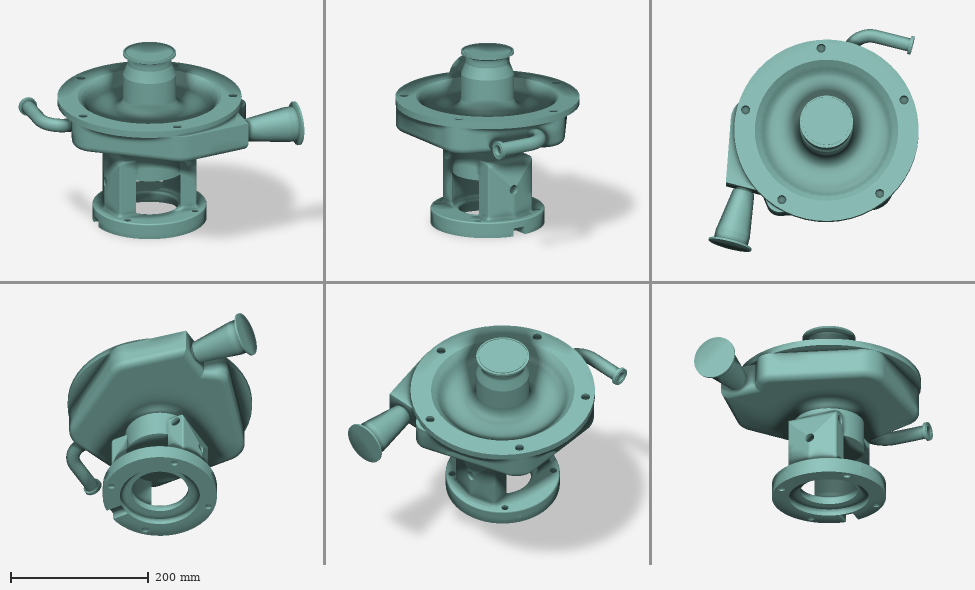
import cadquery as cq
import math

FOOT_TOP = 23.5
HUB_BOTTOM = 78.0
LEG_TOP = 109.0
HUB_TOP = 120.0
BODY_BOTTOM = 139.5
BODY_TOP = 181.5
COVER_TOP = 191.3
OVERALL_HEIGHT = 261.0

OVERLAP = 3.5
PICK_MARGIN = 0.5

BODY_SIDES = 5
BODY_APOTHEM = 115.0
BODY_CORNER_RADIUS = 34.5
BODY_BOTTOM_FILLET = 10.0
OUTLET_FACE_OFFSET = 119.5
OUTLET_LOBE_RADIUS = 19.0
BOX_END_Y = 109.5
BOX_CORNER_X = 123.5
BOX_SIDE_SLOPE = 10

COVER_RADIUS = 134.5
COVER_BOLT_COUNT = 5
COVER_BOLT_CIRCLE_RADIUS = 121.8
COVER_BOLT_RADIUS = 6.5
DISH_RIM_RADIUS = 104.5
DISH_DEPTH = 15.7
DISH_FLOOR_FILLET = 14.5
DISH_WALL_ANGLE = 45

INLET_RADIUS = 38.8
INLET_NECK_RADIUS = 32.0
INLET_SHOULDER_Z = 226.7
INLET_NECK_Z = 243.5
INLET_ROOT_FILLET = 15.0
FERRULE_RIM = 3.3
FERRULE_HEIGHT = 6.5
SEAL_GROOVE_OUTER = 37.0
SEAL_GROOVE_INNER = 34.5
SEAL_GROOVE_DEPTH = 1.5

HORN_X = 95.8
HORN_Z = 159.5
HORN_END_Y = 194.5
HORN_TUBE_START_Y = 176.3
HORN_CONE_START_Y = 113.5
HORN_NECK_END_Y = 111.0
HORN_RADIUS = 25.5
HORN_SMALL_RADIUS = 16.0
HORN_NECK_RADIUS = 12.5
HORN_FERRULE_RADIUS = 32.0
HORN_FERRULE_RIM = 3.0
HORN_FERRULE_LENGTH = 5.5

PIPE_Z = 162.7
PIPE_Y = -157.5
PIPE_END_X = -89.2
PIPE_RADIUS = 10.0
PIPE_BORE_RADIUS = 8.0
PIPE_BEND_RADIUS = 34.5
PIPE_EMBED = 11.0
PIPE_FLANGE_RADIUS = 13.5
PIPE_FLANGE_LENGTH = 4.8
PIPE_GROOVE_OUTER = 11.7
PIPE_GROOVE_INNER = 10.0
PIPE_GROOVE_DEPTH = 1.0

NECK_RADIUS = 42.0
NECK_FILLET = 9.5
HUB_RADIUS = 51.2

FOOT_RADIUS = 83.5
FOOT_BORE_RADIUS = 41.7
FOOT_BORE_FILLET = 4.5
FOOT_RECESS_RADIUS = 58.5
FOOT_RECESS_DEPTH = 10.2
FOOT_EDGE_FILLET = 2.2
FOOT_BOLT_COUNT = 4
FOOT_BOLT_START_ANGLE = 45
FOOT_BOLT_CIRCLE_RADIUS = 74.0
FOOT_BOLT_RADIUS = 5.0
NOTCH_WIDTH = 20.0
NOTCH_HEIGHT = 12.0
NOTCH_FILLET = 2.2
PIN_HOLE_RADIUS = 1.0
PIN_HOLE_DEPTH = 7.3
PIN_HOLE_Z = 12.0
PIN_HOLE_ANGLE = 150

LEG_HALF_WIDTH = 38.8
LEG_RIDGE_Y = 70.0
LEG_FACE_SLOPE = 15
LEG_CORNER_FILLET = 3.3
LEG_RIDGE_FILLET = 8.8
LEG_TOP_FILLET = 10.2
LEG_TAPER_START_Z = 66.0
LEG_BORE_RADIUS = 52.0
LEG_FOOT_FILLET = 5.0
RIDGE_HOLE_RADIUS = 7.0
RIDGE_HOLE_Z = 66.0
RIDGE_HOLE_BREAKTHROUGH = 2.5
CROSS_HOLE_RADIUS = 7.3
CROSS_HOLE_Y = 46.8
CROSS_HOLE_Z = 97.3


def tan_deg(angle):
    return math.tan(math.radians(angle))


def line_crossing(line_a, line_b):
    """Point where two lines meet, each given as (normal angle, distance from origin)."""
    (angle_a, dist_a), (angle_b, dist_b) = line_a, line_b
    a, b = math.radians(angle_a), math.radians(angle_b)
    spread = math.sin(b - a)
    x = (dist_a * math.sin(b) - dist_b * math.sin(a)) / spread
    y = (dist_b * math.cos(a) - dist_a * math.cos(b)) / spread
    return (x, y)


def cylinder(radius, bottom, top):
    return cq.Workplane("XY", origin=(0, 0, bottom)).circle(radius).extrude(top - bottom)


def fillet_upright_edge(solid, point, radius):
    """Round the one vertical edge that stands at the given plan position."""
    x, y = point
    picker = cq.selectors.BoxSelector(
        (x - PICK_MARGIN, y - PICK_MARGIN, 0),
        (x + PICK_MARGIN, y + PICK_MARGIN, OVERALL_HEIGHT),
    )
    return solid.edges("|Z").edges(picker).fillet(radius)


def make_body():
    slope = math.radians(BOX_SIDE_SLOPE)
    box_side_offset = BOX_CORNER_X * math.cos(slope) + BOX_END_Y * math.sin(slope)
    turn = 360 / BODY_SIDES
    walls = [
        (180, BODY_APOTHEM),
        (180 + turn, BODY_APOTHEM),
        (180 + 2 * turn, BODY_APOTHEM),
        (BOX_SIDE_SLOPE, box_side_offset),
        (90, BOX_END_Y),
        (180 - 2 * turn, OUTLET_FACE_OFFSET),
        (180 - turn, BODY_APOTHEM),
    ]
    corners = [line_crossing(walls[i], walls[(i + 1) % len(walls)]) for i in range(len(walls))]
    wall_height = BODY_TOP - BODY_BOTTOM
    body = cq.Workplane("XY", origin=(0, 0, BODY_BOTTOM)).polyline(corners).close().extrude(wall_height)
    left_front, front, right, _, _, lobe, left_back = corners
    for corner in (left_front, front, right, left_back):
        body = fillet_upright_edge(body, corner, BODY_CORNER_RADIUS)
    body = fillet_upright_edge(body, lobe, OUTLET_LOBE_RADIUS)
    return body.faces("<Z").edges().fillet(BODY_BOTTOM_FILLET)


def make_cover():
    cover = cylinder(COVER_RADIUS, BODY_TOP, COVER_TOP)
    bolts = cq.Workplane("XY", origin=(0, 0, BODY_TOP))
    bolts = bolts.polarArray(COVER_BOLT_CIRCLE_RADIUS, 0, 360, COVER_BOLT_COUNT)
    return cover.cut(bolts.circle(COVER_BOLT_RADIUS).extrude(COVER_TOP - BODY_TOP))


def make_dish():
    """Round recess in the cover with a conical wall and a rounded floor edge."""
    floor_radius = DISH_RIM_RADIUS - DISH_DEPTH / tan_deg(DISH_WALL_ANGLE)
    dish = cq.Workplane("XZ").polyline([
        (0, COVER_TOP),
        (DISH_RIM_RADIUS, COVER_TOP),
        (floor_radius, COVER_TOP - DISH_DEPTH),
        (0, COVER_TOP - DISH_DEPTH),
    ]).close().revolve(360, (0, 0), (0, 1))
    return dish.faces("<Z").edges().fillet(DISH_FLOOR_FILLET)


def make_inlet():
    floor_z = COVER_TOP - DISH_DEPTH
    root_radius = INLET_RADIUS + INLET_ROOT_FILLET
    inlet = (
        cq.Workplane("XZ")
        .moveTo(0, floor_z - OVERLAP)
        .lineTo(root_radius, floor_z - OVERLAP)
        .lineTo(root_radius, floor_z)
        .radiusArc((INLET_RADIUS, floor_z + INLET_ROOT_FILLET), INLET_ROOT_FILLET)
        .lineTo(INLET_RADIUS, INLET_SHOULDER_Z)
        .lineTo(INLET_NECK_RADIUS, INLET_NECK_Z)
        .lineTo(INLET_NECK_RADIUS, OVERALL_HEIGHT - FERRULE_HEIGHT)
        .lineTo(INLET_RADIUS, OVERALL_HEIGHT - FERRULE_RIM)
        .lineTo(INLET_RADIUS, OVERALL_HEIGHT)
        .lineTo(0, OVERALL_HEIGHT)
        .close()
        .revolve(360, (0, 0), (0, 1))
    )
    groove_floor = OVERALL_HEIGHT - SEAL_GROOVE_DEPTH
    groove = cylinder(SEAL_GROOVE_OUTER, groove_floor, OVERALL_HEIGHT)
    groove = groove.cut(cylinder(SEAL_GROOVE_INNER, groove_floor, OVERALL_HEIGHT))
    return inlet.cut(groove)


def make_horn():
    """Flared outlet turned about an axis along Y, rooted in the outlet box."""
    profile = [
        (0, BOX_END_Y - OVERLAP),
        (HORN_NECK_RADIUS, BOX_END_Y - OVERLAP),
        (HORN_NECK_RADIUS, HORN_NECK_END_Y),
        (HORN_SMALL_RADIUS, HORN_CONE_START_Y),
        (HORN_RADIUS, HORN_TUBE_START_Y),
        (HORN_RADIUS, HORN_END_Y - HORN_FERRULE_LENGTH),
        (HORN_FERRULE_RADIUS, HORN_END_Y - HORN_FERRULE_RIM),
        (HORN_FERRULE_RADIUS, HORN_END_Y),
        (0, HORN_END_Y),
    ]
    horn = cq.Workplane("XY").polyline(profile).close().revolve(360, (0, 0), (0, 1))
    return horn.translate((HORN_X, 0, HORN_Z))


def sweep_pipe(radius):
    """Round bar along the drain pipe's centre line, ending inside the body."""
    bend_end_y = PIPE_Y + PIPE_BEND_RADIUS
    path = (
        cq.Workplane("XY", origin=(0, 0, PIPE_Z))
        .moveTo(PIPE_END_X, PIPE_Y)
        .lineTo(-PIPE_BEND_RADIUS, PIPE_Y)
        .radiusArc((0, bend_end_y), -PIPE_BEND_RADIUS)
        .lineTo(0, bend_end_y + PIPE_EMBED)
    )
    return cq.Workplane("YZ", origin=(PIPE_END_X, PIPE_Y, PIPE_Z)).circle(radius).sweep(path)


def make_pipe():
    """Solid drain pipe with an end flange that carries a ring groove."""
    pipe = sweep_pipe(PIPE_RADIUS)
    flange = cq.Workplane("YZ", origin=(PIPE_END_X, PIPE_Y, PIPE_Z))
    groove = flange.circle(PIPE_GROOVE_OUTER).circle(PIPE_GROOVE_INNER).extrude(PIPE_GROOVE_DEPTH)
    return flange.circle(PIPE_FLANGE_RADIUS).extrude(PIPE_FLANGE_LENGTH).union(pipe).cut(groove)


def make_neck_and_hub():
    return (
        cq.Workplane("XZ")
        .moveTo(0, HUB_BOTTOM)
        .lineTo(HUB_RADIUS, HUB_BOTTOM)
        .lineTo(HUB_RADIUS, HUB_TOP)
        .lineTo(NECK_RADIUS, HUB_TOP)
        .lineTo(NECK_RADIUS, BODY_BOTTOM - NECK_FILLET)
        .radiusArc((NECK_RADIUS + NECK_FILLET, BODY_BOTTOM), NECK_FILLET)
        .lineTo(NECK_RADIUS + NECK_FILLET, BODY_BOTTOM + OVERLAP)
        .lineTo(0, BODY_BOTTOM + OVERLAP)
        .close()
        .revolve(360, (0, 0), (0, 1))
    )


def make_legs():
    """Two ridged legs: a plan outline trimmed by the side and end outlines."""
    corner_y = LEG_RIDGE_Y - LEG_HALF_WIDTH * tan_deg(LEG_FACE_SLOPE)
    plan = cq.Workplane("XY").polyline([
        (-LEG_HALF_WIDTH, -corner_y),
        (0, -LEG_RIDGE_Y),
        (LEG_HALF_WIDTH, -corner_y),
        (LEG_HALF_WIDTH, corner_y),
        (0, LEG_RIDGE_Y),
        (-LEG_HALF_WIDTH, corner_y),
    ]).close().extrude(LEG_TOP)
    plan = plan.edges("|Z").edges("<X or >X").fillet(LEG_CORNER_FILLET)
    plan = plan.edges("|Z").edges("<Y or >Y").fillet(LEG_RIDGE_FILLET)

    top_y = LEG_RIDGE_Y - (LEG_TOP - LEG_TAPER_START_Z) * tan_deg(LEG_FACE_SLOPE)
    side = cq.Workplane("YZ").polyline([
        (-LEG_RIDGE_Y, 0),
        (LEG_RIDGE_Y, 0),
        (LEG_RIDGE_Y, LEG_TAPER_START_Z),
        (top_y, LEG_TOP),
        (-top_y, LEG_TOP),
        (-LEG_RIDGE_Y, LEG_TAPER_START_Z),
    ]).close().extrude(LEG_HALF_WIDTH, both=True)
    side = side.faces(">Z").edges("|X").fillet(LEG_TOP_FILLET)

    end = cq.Workplane("XY").box(2 * LEG_HALF_WIDTH, 2 * LEG_RIDGE_Y, LEG_TOP, centered=(True, True, False))
    end = end.faces(">Z").edges("|Y").fillet(LEG_CORNER_FILLET)

    legs = plan.intersect(side).intersect(end)
    return legs.cut(cylinder(LEG_BORE_RADIUS, 0, HUB_BOTTOM))


def make_foot_bore():
    """Through bore with a rounded top edge and a wider recess on the underside."""
    bore_profile = (
        cq.Workplane("XZ")
        .lineTo(FOOT_RECESS_RADIUS, 0)
        .lineTo(FOOT_RECESS_RADIUS, FOOT_RECESS_DEPTH)
        .lineTo(FOOT_BORE_RADIUS, FOOT_RECESS_DEPTH)
        .lineTo(FOOT_BORE_RADIUS, FOOT_TOP - FOOT_BORE_FILLET)
        .radiusArc((FOOT_BORE_RADIUS + FOOT_BORE_FILLET, FOOT_TOP), FOOT_BORE_FILLET)
        .lineTo(0, FOOT_TOP)
        .close()
    )
    return bore_profile.revolve(360, (0, 0), (0, 1))


def make_foot_and_legs():
    foot = cylinder(FOOT_RADIUS, 0, FOOT_TOP).faces(">Z").edges().fillet(FOOT_EDGE_FILLET)
    stand = foot.union(make_legs())
    foot_seam = cq.selectors.BoxSelector(
        (-LEG_HALF_WIDTH - OVERLAP, -LEG_RIDGE_Y - OVERLAP, FOOT_TOP - PICK_MARGIN),
        (LEG_HALF_WIDTH + OVERLAP, LEG_RIDGE_Y + OVERLAP, FOOT_TOP + PICK_MARGIN),
    )
    stand = stand.edges(foot_seam).fillet(LEG_FOOT_FILLET)
    stand = stand.cut(make_foot_bore())

    bolts = cq.Workplane("XY")
    bolts = bolts.polarArray(FOOT_BOLT_CIRCLE_RADIUS, FOOT_BOLT_START_ANGLE, 360, FOOT_BOLT_COUNT)
    stand = stand.cut(bolts.circle(FOOT_BOLT_RADIUS).extrude(FOOT_TOP))
    return stand.cut(make_notch()).cut(make_pin_hole())


def make_notch():
    """Slot under the foot ring, from the -Y rim to the wall of the underside recess."""
    rim_to_recess = FOOT_RADIUS - FOOT_RECESS_RADIUS
    notch = cq.Workplane("XY").box(NOTCH_WIDTH, 2 * rim_to_recess, 2 * NOTCH_HEIGHT)
    notch = notch.faces(">Z").edges("|Y").fillet(NOTCH_FILLET)
    return notch.translate((0, -FOOT_RADIUS, 0))


def make_pin_hole():
    hole = cq.Workplane("YZ", origin=(FOOT_RADIUS - PIN_HOLE_DEPTH, 0, PIN_HOLE_Z))
    hole = hole.circle(PIN_HOLE_RADIUS).extrude(PIN_HOLE_DEPTH + OVERLAP)
    return hole.rotate((0, 0, 0), (0, 0, 1), PIN_HOLE_ANGLE)


def make_leg_holes():
    """Blind holes in both ridges that just break into the leg bore, and one cross hole."""
    floor_y = math.sqrt(LEG_BORE_RADIUS ** 2 - (RIDGE_HOLE_BREAKTHROUGH / 2) ** 2)
    holes = cq.Workplane("YZ", origin=(0, CROSS_HOLE_Y, CROSS_HOLE_Z))
    holes = holes.circle(CROSS_HOLE_RADIUS).extrude(LEG_HALF_WIDTH + OVERLAP, both=True)
    ridge_hole = cq.Workplane("XZ", origin=(0, -floor_y, RIDGE_HOLE_Z))
    ridge_hole = ridge_hole.circle(RIDGE_HOLE_RADIUS).extrude(LEG_RIDGE_Y - floor_y + OVERLAP)
    return holes.union(ridge_hole).union(ridge_hole.mirror("XZ"))


housing = make_body().union(make_cover()).cut(make_dish()).union(make_inlet())
housing = housing.union(make_horn()).union(make_neck_and_hub())
housing = housing.union(make_pipe()).cut(sweep_pipe(PIPE_BORE_RADIUS))
stand = make_foot_and_legs()
result = housing.union(stand).cut(make_leg_holes())